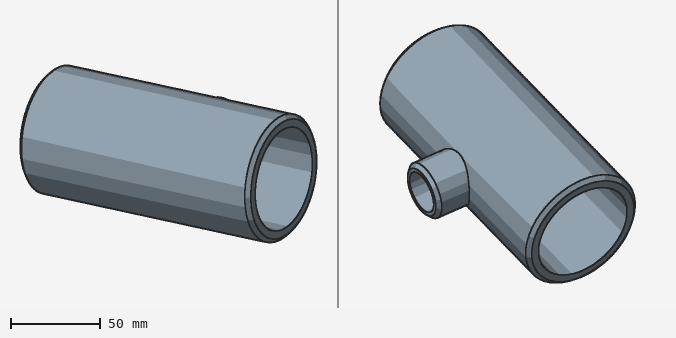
import cadquery as cq

run_length = 152.4
run_diameter = 73.0
run_bore = 59.0

overall_width = 93.7
branch_diameter = 33.5
branch_bore = 24.2
branch_reach = overall_width - run_diameter / 2

bevel = 2.5


def run_cylinder(diameter):
    return cq.Workplane("YZ").circle(diameter / 2).extrude(run_length / 2, both=True)


def branch_cylinder(diameter):
    return cq.Workplane("XZ").circle(diameter / 2).extrude(-branch_reach)


run = run_cylinder(run_diameter).faces("<X or >X").chamfer(bevel)
branch = branch_cylinder(branch_diameter).faces(">Y").chamfer(bevel)

result = run.union(branch).cut(run_cylinder(run_bore)).cut(branch_cylinder(branch_bore))